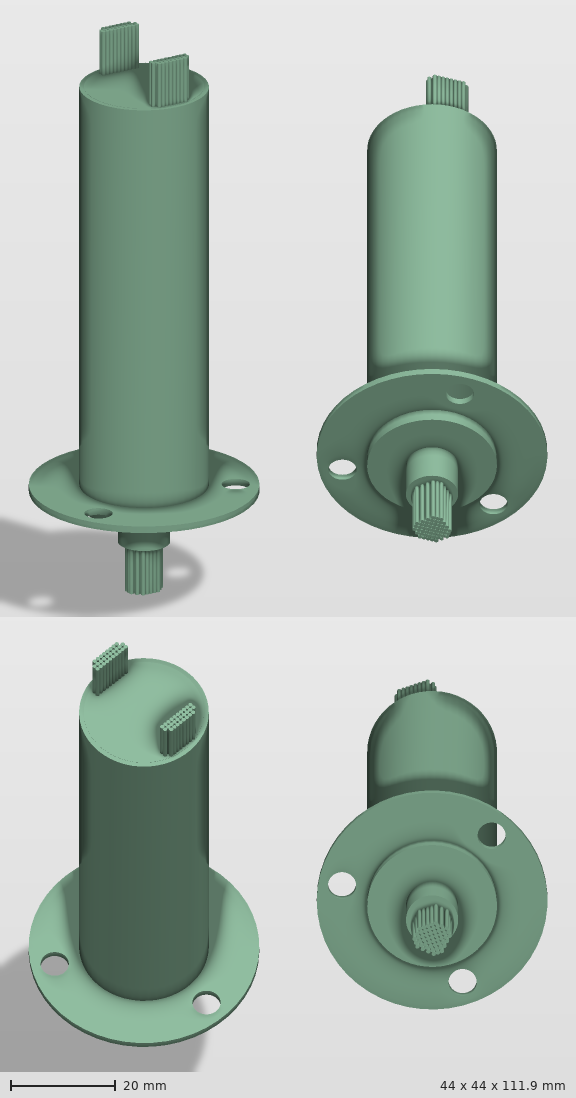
import cadquery as cq
import math

total_height = 111.9
nose_bottom = 9.7
body_bottom = 17.5
flange_bottom = 20.1
flange_thickness = 1.3
body_top = 103.0

body_diameter = 24.7
cap_diameter = 22.9
cap_rise = 0.06
nose_diameter = 10.0
flange_diameter = 44.0

hole_count = 3
hole_diameter = 5.4
hole_circle_radius = 17.5
first_hole_angle = 180

wire_diameter = 0.81
wire_pitch = 0.82
wire_root = 0.6

grid_rows = 10
grid_columns = 3
grid_inner_edge = 8.6

lower_reach = 4
lower_circle = 4.2


def cylinder(diameter, bottom, top):
    """Upright cylinder on the part axis."""
    return cq.Workplane("XY").workplane(offset=bottom).circle(diameter / 2).extrude(top - bottom)


def wires(centres, bottom, top):
    """Round upright wires at the given (x, y) centres."""
    plane = cq.Workplane("XY").workplane(offset=bottom)
    return plane.pushPoints(centres).circle(wire_diameter / 2).extrude(top - bottom)


def upper_wire_centres(side):
    """Grid on one side of the axis; the outermost column lacks its two end wires."""
    centres = []
    for column in range(grid_columns):
        x = side * (grid_inner_edge + (column + 0.5) * wire_pitch)
        is_outermost = column == grid_columns - 1
        rows_trimmed = 1 if is_outermost else 0
        for row in range(rows_trimmed, grid_rows - rows_trimmed):
            y = (row - (grid_rows - 1) / 2) * wire_pitch
            centres.append((x, y))
    return centres


def lower_wire_centres():
    """Square grid centred on the axis and trimmed to a circle, without its last column on +X."""
    centres = []
    for column in range(-lower_reach, lower_reach):
        for row in range(-lower_reach, lower_reach + 1):
            if math.hypot(column, row) < lower_circle:
                centres.append((column * wire_pitch, row * wire_pitch))
    return centres


housing = cylinder(body_diameter, body_bottom, body_top)
cap = cylinder(cap_diameter, body_bottom, body_top + cap_rise)
flange = cylinder(flange_diameter, flange_bottom, flange_bottom + flange_thickness)
holes = (
    cq.Workplane("XY")
    .workplane(offset=flange_bottom)
    .polarArray(hole_circle_radius, first_hole_angle, 360, hole_count)
    .circle(hole_diameter / 2)
    .extrude(flange_thickness)
)

nose = cylinder(nose_diameter, nose_bottom, body_bottom)

result = housing.union(cap).union(flange.cut(holes)).union(nose)

for side in (-1, 1):
    result = result.union(wires(upper_wire_centres(side), body_top - wire_root, total_height))
result = result.union(wires(lower_wire_centres(), 0, nose_bottom + wire_root))